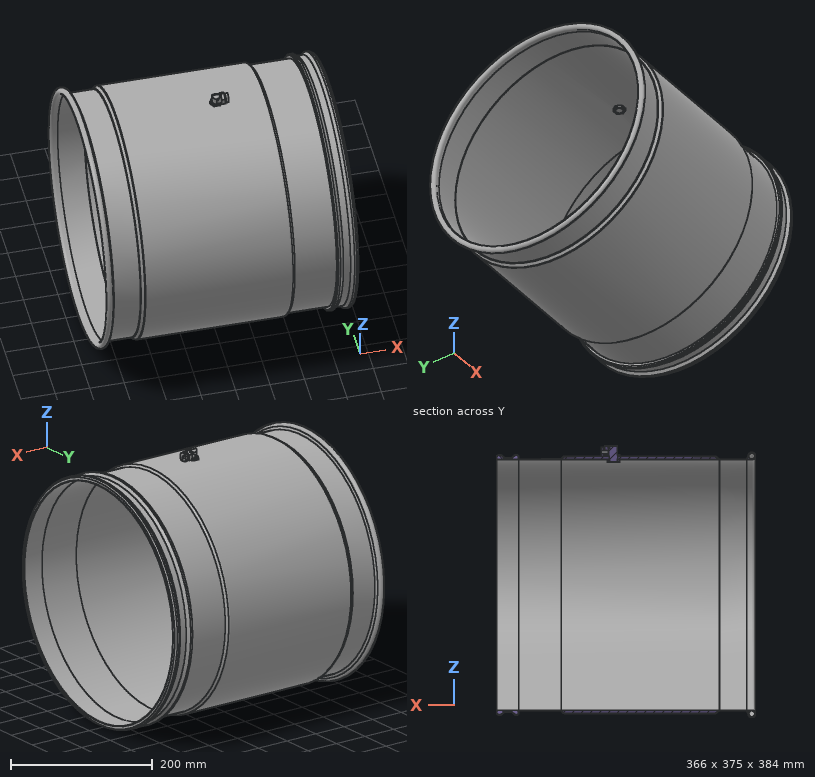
import cadquery as cq
import math

length = 366.0
bore_d = 354.0
duct_d = 356.0
duct_r = duct_d / 2
bore_r = bore_d / 2
wall = duct_r - bore_r

bead_outer_r = 187.5
bead_section_r = (bead_outer_r - bore_r) / 2
bead_center_r = bead_outer_r - bead_section_r
bead_foot_x = 12.3
spigot_end_x = 50.7

jacket_d = 364.0
jacket_r = jacket_d / 2
jacket_start_x = 51.5
jacket_end_x = 274.5
left_cone_length = 4.5
left_rim_length = 1.0
right_cone_length = 3.5
right_rim_length = 2.5
rim_drop = 0.5

seal_start_x = 335.0
seal_lip_r = 368.0 / 2
seal_shoulder_r = 364.0 / 2
seal_valley_r = 360.0 / 2
first_lip_x = 336.5
second_lip_x = 360.0
lip_top_width = 3.0
lip_ramp_length = 5.0

fitting_top_z = 196.5
fitting_x = 201.0
hex_flats = 15.5
hex_corners = hex_flats / math.cos(math.pi / 6)
stem_d = 11.0
arm_z = fitting_top_z - hex_corners / 2
base_height = 2.0
base_top_z = jacket_r + base_height
arm_d = 12.0
connector_start_x = 207.8
connector_hex_end_x = 213.0
connector_neck_d = 8.0
collar_d = 13.5
collar_start_x = 214.3
fitting_end_x = 218.0
arm_bore_d = 4.0
lock_nut_bottom_z = bore_r - 3.5
corner_bevel = 0.5


def turned(profile):
    """Revolve a closed sketch of (X, radius) points about the X axis."""
    return profile.close().revolve(360, (0, 0, 0), (1, 0, 0))


def rod(start_x, end_x, diameter):
    """Round bar on the axis of the fitting's arm."""
    return cq.Workplane("YZ", origin=(start_x, 0, arm_z)).circle(diameter / 2).extrude(end_x - start_x)


def hex_bar(start_x, end_x):
    """Hexagon bar along the arm, one corner upward, with its end corners bevelled."""
    bar = (
        cq.Workplane("YZ", origin=(start_x, 0, arm_z))
        .transformed(rotate=(0, 0, 90))
        .polygon(6, hex_corners)
        .extrude(end_x - start_x)
    )
    return bar.intersect(rod(start_x, end_x, hex_corners).faces("<X or >X").chamfer(corner_bevel))


def upright_hex(bottom_z, height):
    """Hexagon plate on the stem's axis, one corner toward -X."""
    return cq.Workplane("XY", origin=(fitting_x, 0, bottom_z)).polygon(6, hex_corners).extrude(height)


def stem_rod(bottom_z, top_z, diameter):
    """Round bar on the vertical stem's axis."""
    return cq.Workplane("XY", origin=(fitting_x, 0, bottom_z)).circle(diameter / 2).extrude(top_z - bottom_z)


def above(body, z):
    """Keep the part of a body that lies above a height."""
    size = 2 * length
    keep = cq.Workplane("XY", origin=(0, 0, z)).box(size, size, size, centered=(True, True, False))
    return body.intersect(keep)


def make_spigot():
    """Mouth piece whose rim curls outward into a hollow rolled bead."""
    diagonal = bead_section_r * math.sqrt(0.5)
    outline = turned(
        cq.Workplane("XY")
        .moveTo(spigot_end_x, bore_r)
        .lineTo(bead_section_r, bore_r)
        .threePointArc((bead_section_r - diagonal, bead_center_r - diagonal), (0, bead_center_r))
        .threePointArc((bead_section_r, bead_outer_r), (2 * bead_section_r, bead_center_r))
        .lineTo(bead_foot_x, duct_r)
        .lineTo(spigot_end_x, duct_r)
    )
    core = (
        cq.Workplane("XY")
        .center(bead_section_r, bead_center_r)
        .circle(bead_section_r - wall)
        .revolve(360, (0, -bead_center_r, 0), (1, -bead_center_r, 0))
    )
    return outline.cut(core)


def make_duct():
    """Straight thin-walled tube behind the mouth piece, drilled for the stem."""
    tube = turned(
        cq.Workplane("XY")
        .moveTo(spigot_end_x, bore_r)
        .lineTo(length, bore_r)
        .lineTo(length, duct_r)
        .lineTo(spigot_end_x, duct_r)
    )
    return tube.cut(stem_rod(0, jacket_r, stem_d))


def make_jacket():
    """Sleeve around the duct with coned ends, drilled for the stem."""
    rim_r = jacket_r - rim_drop
    shell = turned(
        cq.Workplane("XY")
        .moveTo(jacket_start_x, duct_r)
        .lineTo(jacket_start_x + left_cone_length, rim_r)
        .lineTo(jacket_start_x + left_cone_length + left_rim_length, jacket_r)
        .lineTo(jacket_end_x - right_cone_length - right_rim_length, jacket_r)
        .lineTo(jacket_end_x - right_cone_length, rim_r)
        .lineTo(jacket_end_x, duct_r)
    )
    return shell.cut(stem_rod(0, fitting_top_z, stem_d))


def make_seal():
    """Rubber ring with two flat-topped lips and a valley between them."""
    first_lip_end_x = first_lip_x + lip_top_width
    return turned(
        cq.Workplane("XY")
        .moveTo(seal_start_x, duct_r)
        .lineTo(seal_start_x, seal_shoulder_r)
        .lineTo(first_lip_x, seal_lip_r)
        .lineTo(first_lip_end_x, seal_lip_r)
        .lineTo(first_lip_end_x + lip_ramp_length, seal_valley_r)
        .lineTo(second_lip_x - lip_ramp_length, seal_valley_r)
        .lineTo(second_lip_x, seal_lip_r)
        .lineTo(second_lip_x + lip_top_width, seal_lip_r)
        .lineTo(length, seal_shoulder_r)
        .lineTo(length, duct_r)
    )


def make_elbow():
    """Round stem through the walls, a hexagon base on the jacket and a short arm to the connector.

    Above the base the stem is trimmed to the ridged hexagon section of the connector.
    """
    stem = stem_rod(lock_nut_bottom_z, base_top_z, stem_d)
    roof = hex_bar(fitting_x - stem_d / 2, fitting_x + stem_d / 2)
    head = roof.intersect(stem_rod(base_top_z, fitting_top_z, stem_d))
    base = upright_hex(jacket_r, base_height)
    arm = above(rod(fitting_x, connector_start_x, arm_d), base_top_z)
    return stem.union(base).union(head).union(arm)


def make_connector():
    """Hose connector: hexagon, neck and round collar, with a bore from its open end."""
    hexagon = above(hex_bar(connector_start_x, connector_hex_end_x), base_top_z)
    neck = rod(connector_hex_end_x, collar_start_x, connector_neck_d)
    collar = above(rod(collar_start_x, fitting_end_x, collar_d), jacket_r)
    bore = rod(connector_start_x, fitting_end_x, arm_bore_d)
    return hexagon.union(neck).union(collar).cut(bore)


def make_lock_nut():
    """Hexagon nut inside the duct that holds the stem, shaped to the round bore."""
    nut = upright_hex(lock_nut_bottom_z, bore_r - lock_nut_bottom_z)
    bore = cq.Workplane("YZ").circle(bore_r).extrude(length)
    return nut.intersect(bore).cut(stem_rod(lock_nut_bottom_z, bore_r, stem_d))


spigot = make_spigot()
duct = make_duct()
jacket = make_jacket()
seal = make_seal()
elbow = make_elbow()
connector = make_connector()
lock_nut = make_lock_nut()

result = cq.Compound.makeCompound([
    spigot.val(), duct.val(), jacket.val(), seal.val(), elbow.val(), connector.val(), lock_nut.val()
])